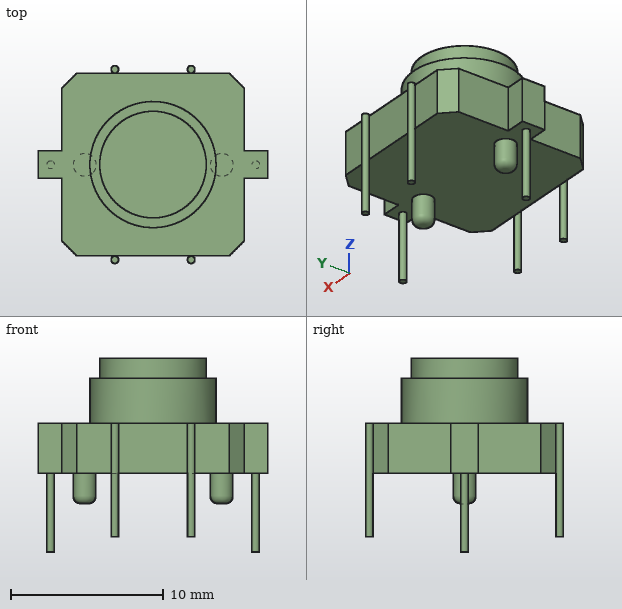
import cadquery as cq

overall_length = 15.1
base_side = 12.0
base_height = 3.3
corner_chamfer = 1.0
ear_width = 1.83

collar_diameter = 8.29
collar_height = 2.96
button_diameter = 7.0
button_height = 1.31

peg_diameter = 1.5
peg_length = 1.98
peg_tip_radius = 0.48
peg_spacing = 9.0

ear_pin_diameter = 0.51
ear_pin_length = 5.16
ear_pin_spacing = 13.47

side_pin_diameter = 0.5
side_pin_drop = 4.17
side_pin_spacing = 5.01
side_pin_row = (base_side + side_pin_diameter) / 2


def make_base():
    """Square block with chamfered corners and one ear on each X side."""
    block = cq.Workplane("XY").rect(base_side, base_side).extrude(base_height)
    block = block.edges("|Z").chamfer(corner_chamfer)
    ears = cq.Workplane("XY").rect(overall_length, ear_width).extrude(base_height)
    return block.union(ears)


def make_button():
    """Collar with the narrower push button above it."""
    collar = (
        cq.Workplane("XY")
        .workplane(offset=base_height)
        .circle(collar_diameter / 2)
        .extrude(collar_height)
    )
    return collar.faces(">Z").workplane().circle(button_diameter / 2).extrude(button_height)


def make_peg(x):
    """Locating peg with a rounded tip, hanging from the underside."""
    peg = cq.Workplane("XY").center(x, 0).circle(peg_diameter / 2).extrude(-peg_length)
    return peg.faces("<Z").edges().fillet(peg_tip_radius)


def make_ear_pin(x):
    """Straight pin hanging from the underside of an ear."""
    return cq.Workplane("XY").center(x, 0).circle(ear_pin_diameter / 2).extrude(-ear_pin_length)


def make_housing():
    """One-piece housing: base, button, pegs and ear pins."""
    body = make_base().union(make_button())
    for side in (-1, 1):
        body = body.union(make_peg(side * peg_spacing / 2))
        body = body.union(make_ear_pin(side * ear_pin_spacing / 2))
    return body


def make_side_pin(x, y):
    """Separate pin from the top of the base to below its underside."""
    return (
        cq.Workplane("XY", origin=(x, y, -side_pin_drop))
        .circle(side_pin_diameter / 2)
        .extrude(side_pin_drop + base_height)
    )


housing = make_housing()

side_pins = []
for x_side in (-1, 1):
    for y_side in (-1, 1):
        pin = make_side_pin(x_side * side_pin_spacing / 2, y_side * side_pin_row)
        side_pins.append(pin.val())

result = cq.Compound.makeCompound([housing.val(), *side_pins])